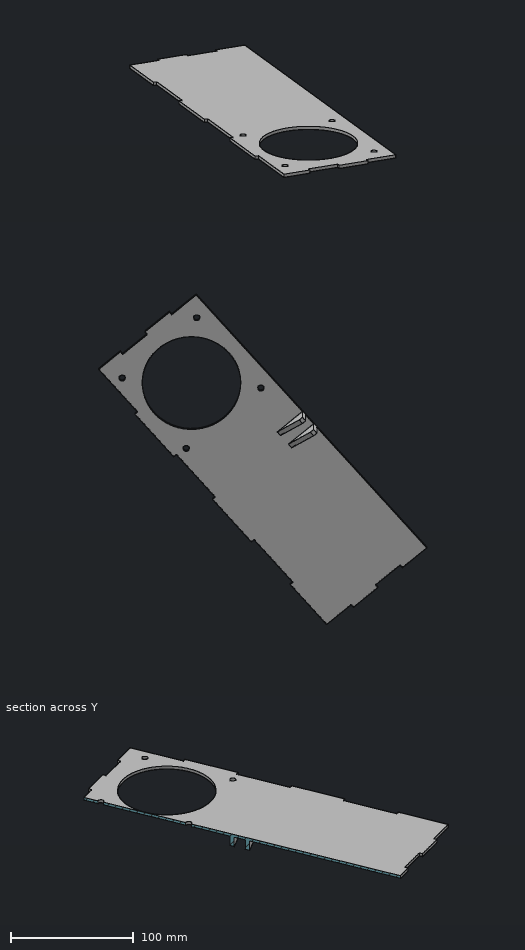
import cadquery as cq

length = 291.0
width = 105.0
thickness = 3.0
total_height = 17.0

finger_depth = 3.0
side_pitch = width / 4
front_pitch = length / 6

fan_x = 232.8
fan_y = width / 2
fan_diameter = 80.0
screw_spacing = 80.0
screw_diameter = 5.0

rib_thickness = 4.0
rib_gap = 10.0
rib_center_x = 146.5
rib_height = total_height - thickness
rib_root_length = 27.0
rib_tip_length = 3.5


def cut_notch(body, x, y, size_x, size_y):
    """Remove a full-thickness rectangle whose lower left corner is (x, y)."""
    notch = cq.Workplane("XY").box(size_x, size_y, thickness, centered=False)
    return body.cut(notch.translate((x, y, 0)))


def make_plate():
    plate = cq.Workplane("XY").box(length, width, thickness, centered=False)

    for row in (0, 2):
        plate = cut_notch(plate, 0, row * side_pitch, finger_depth, side_pitch)
    for row in (1, 3):
        plate = cut_notch(plate, length - finger_depth, row * side_pitch, finger_depth, side_pitch)

    for column in (1, 3, 5):
        plate = cut_notch(plate, column * front_pitch, 0, front_pitch, finger_depth)
    return plate


def cut_fan_mount(plate):
    face = plate.faces(">Z").workplane(origin=(fan_x, fan_y, thickness))
    plate = face.hole(fan_diameter)
    face = plate.faces(">Z").workplane(origin=(fan_x, fan_y, thickness))
    return face.rect(screw_spacing, screw_spacing, forConstruction=True).vertices().hole(screw_diameter)


def make_rib(start_x):
    profile = [
        (width, 0),
        (width, -rib_height),
        (width - rib_tip_length, -rib_height),
        (width - rib_root_length, 0),
    ]
    rib = cq.Workplane("YZ").polyline(profile).close().extrude(rib_thickness)
    return rib.translate((start_x, 0, 0))


result = cut_fan_mount(make_plate())
for rib_start in (rib_center_x - rib_gap / 2 - rib_thickness, rib_center_x + rib_gap / 2):
    result = result.union(make_rib(rib_start))